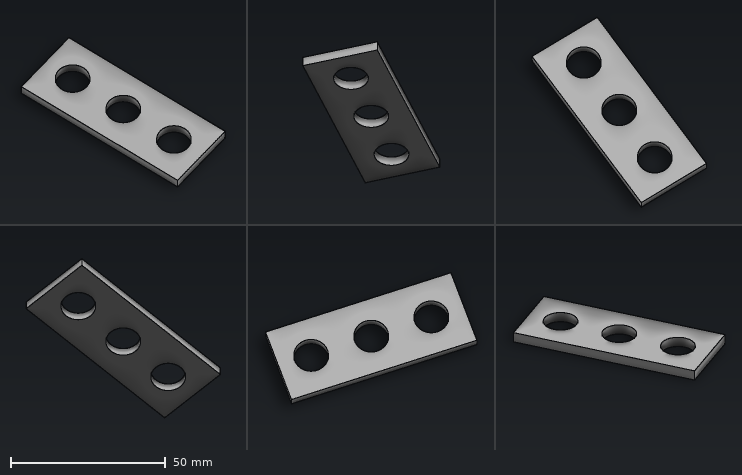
import cadquery as cq

length = 63.5
width = 25.4
thickness = 3.5

hole_diameter = 11.2
hole_count = 3
hole_pitch = 20.6

plate = cq.Workplane("XY").box(length, width, thickness)

result = (
    plate.faces(">Z")
    .workplane()
    .rarray(hole_pitch, 0.65, hole_count, 1)
    .hole(hole_diameter)
)